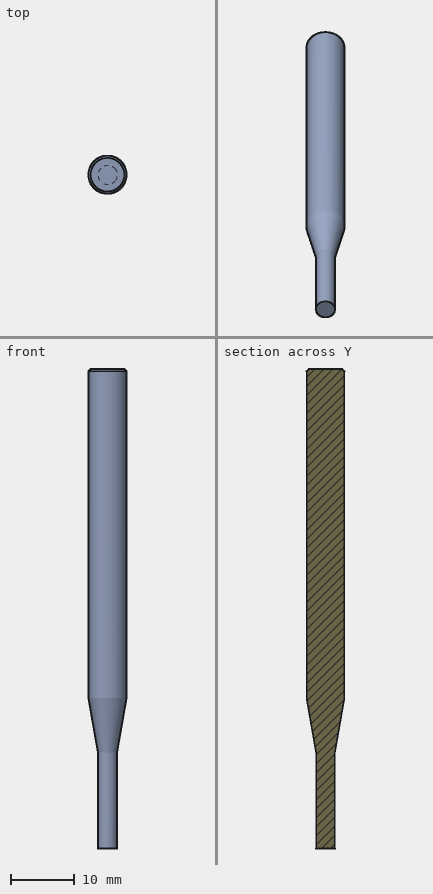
import cadquery as cq

total_length = 75.0
shank_diameter = 6.0
shank_radius = shank_diameter / 2

tip_diameter = 3.0
tip_radius = tip_diameter / 2
tip_length = 15.0

taper_length = 8.55
shank_start = tip_length + taper_length

end_chamfer = 0.4

profile = (
    cq.Workplane("XZ")
    .moveTo(0, 0)
    .lineTo(tip_radius, 0)
    .lineTo(tip_radius, tip_length)
    .lineTo(shank_radius, shank_start)
    .lineTo(shank_radius, total_length - end_chamfer)
    .lineTo(shank_radius - end_chamfer, total_length)
    .lineTo(0, total_length)
    .close()
)

result = profile.revolve(360, (0, 0, 0), (0, 1, 0))